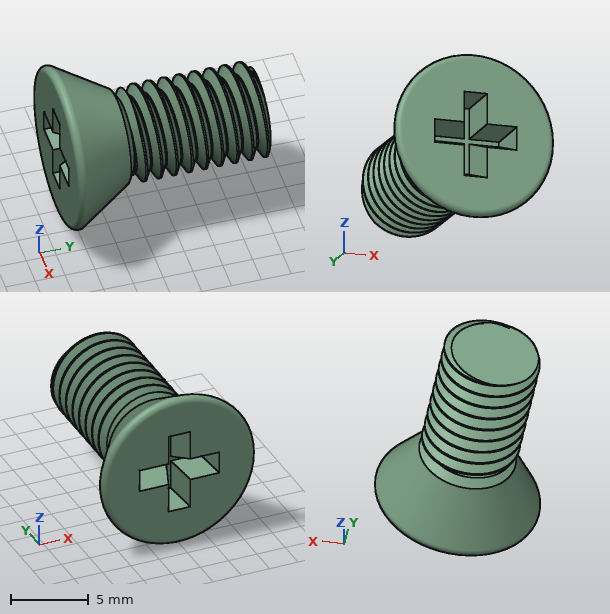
import cadquery as cq
import math

total_length = 13.59
head_radius = 5.41
head_length = 4.09
rim_fillet = 0.4

thread_radius = 6.35 / 2
root_radius = 2.49
pitch = 1.02
crest_width = 0.12
flank_angle = math.radians(30)
thread_phase = 0.03
start_turn = 3
thread_turns = 12
root_overlap = 0.07
overrun_length = 3 * pitch

relief_floor_y = 4.51
cutter_margin = 0.14

recess_span = 5.63
recess_width = 1.55
recess_inset = 0.61
recess_depth = 1.73


def make_head():
    """Cone with a rounded rim, ending in the near side of the V relief."""
    rim_x = head_radius - rim_fillet
    rim_y = rim_fillet
    run_x = rim_x - thread_radius
    run_y = head_length - rim_y
    tangent_angle = math.atan2(run_y, -run_x) - math.acos(rim_fillet / math.hypot(run_x, run_y))
    middle_angle = (tangent_angle - math.pi / 2) / 2

    def rim_point(angle):
        return rim_x + rim_fillet * math.cos(angle), rim_y + rim_fillet * math.sin(angle)

    return (
        cq.Workplane("XY")
        .moveTo(0, 0)
        .lineTo(rim_x, 0)
        .threePointArc(rim_point(middle_angle), rim_point(tangent_angle))
        .lineTo(thread_radius, head_length)
        .lineTo(root_radius, relief_floor_y)
        .lineTo(0, relief_floor_y)
        .close()
        .revolve(360, (0, 0, 0), (0, 1, 0))
    )


def make_thread_ridge():
    """Right-handed ridge, longer than the shank at both ends."""
    start_y = start_turn * pitch + thread_phase
    inner_radius = root_radius - root_overlap
    crest_half = crest_width / 2
    base_half = crest_half + (thread_radius - inner_radius) * math.tan(flank_angle)
    path = cq.Wire.makeHelix(pitch, thread_turns * pitch, inner_radius)
    ridge = (
        cq.Workplane("XZ")
        .polyline(
            [
                (inner_radius, -base_half),
                (thread_radius, -crest_half),
                (thread_radius, crest_half),
                (inner_radius, base_half),
            ]
        )
        .close()
        .sweep(cq.Workplane(obj=path), isFrenet=True)
    )
    return ridge.rotate((0, 0, 0), (1, 0, 0), -90).translate((0, start_y, 0))


def make_relief_cutter():
    """Ring that removes the ridge below the relief floor and chamfers its first turn."""
    slope = (relief_floor_y - head_length) / (thread_radius - root_radius)
    outer_radius = thread_radius + cutter_margin
    outer_y = relief_floor_y + slope * (outer_radius - root_radius)
    return (
        cq.Workplane("XY")
        .polyline([(root_radius, 0), (root_radius, relief_floor_y), (outer_radius, outer_y), (outer_radius, 0)])
        .close()
        .revolve(360, (0, 0, 0), (0, 1, 0))
    )


def make_end_cutter():
    """Block that trims the shank flat at its tip."""
    block_side = 2 * (thread_radius + cutter_margin)
    block_length = overrun_length + pitch
    tip_plane = cq.Workplane("XZ", origin=(0, total_length, 0))
    return tip_plane.rect(block_side, block_side).extrude(-block_length)


def make_recess_arm(size_x, size_z):
    """Slot with sloping walls, sunk from the head face."""
    return (
        cq.Workplane("XZ")
        .rect(size_x, size_z)
        .workplane(offset=-recess_depth)
        .rect(size_x - 2 * recess_inset, size_z - 2 * recess_inset)
        .loft(ruled=True)
    )


core = cq.Workplane("XZ").circle(root_radius).extrude(-(total_length + overrun_length))
shank = core.union(make_thread_ridge())
shank = shank.cut(make_relief_cutter()).cut(make_end_cutter())
result = shank.union(make_head())
result = result.cut(make_recess_arm(recess_span, recess_width))
result = result.cut(make_recess_arm(recess_width, recess_span))